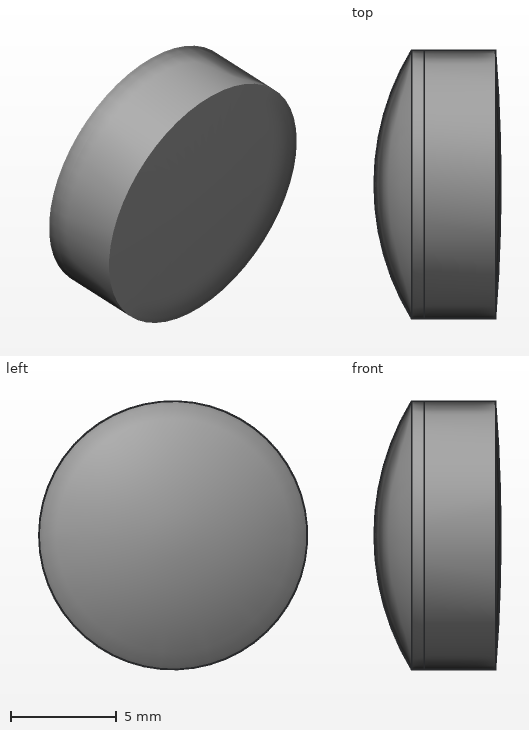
import cadquery as cq

diameter = 12.7
total_thickness = 6.0
front_sag = 1.78
front_rim_width = 0.6
rear_sag = 0.25

radius = diameter / 2
front_rim_x = front_sag
joint_x = front_rim_x + front_rim_width
rear_rim_x = total_thickness - rear_sag


def sphere_radius(sag):
    """Radius of the spherical cap with this sag across the full lens diameter."""
    return (radius**2 + sag**2) / (2 * sag)


def revolve_about_axis(half_profile):
    """Turn a closed half profile in the XY plane about the X axis."""
    return half_profile.revolve(360, (0, 0, 0), (1, 0, 0))


def cap_mid_height(sag):
    """Distance from the axis of the cap's arc at half of its sag."""
    cap_radius = sphere_radius(sag)
    return (cap_radius**2 - (cap_radius - sag / 2) ** 2) ** 0.5


def make_front_lens():
    """Convex front face, narrow cylindrical rim and flat cemented face."""
    profile = (
        cq.Workplane("XY")
        .moveTo(0, 0)
        .threePointArc((front_sag / 2, cap_mid_height(front_sag)), (front_rim_x, radius))
        .lineTo(joint_x, radius)
        .lineTo(joint_x, 0)
        .close()
    )
    return revolve_about_axis(profile)


def make_rear_lens():
    """Flat cemented face, wide cylindrical rim and shallow convex rear face."""
    profile = (
        cq.Workplane("XY")
        .moveTo(joint_x, 0)
        .lineTo(joint_x, radius)
        .lineTo(rear_rim_x, radius)
        .threePointArc(
            (total_thickness - rear_sag / 2, cap_mid_height(rear_sag)),
            (total_thickness, 0),
        )
        .close()
    )
    return revolve_about_axis(profile)


front_lens = make_front_lens()
rear_lens = make_rear_lens()

result = cq.Compound.makeCompound([front_lens.val(), rear_lens.val()])